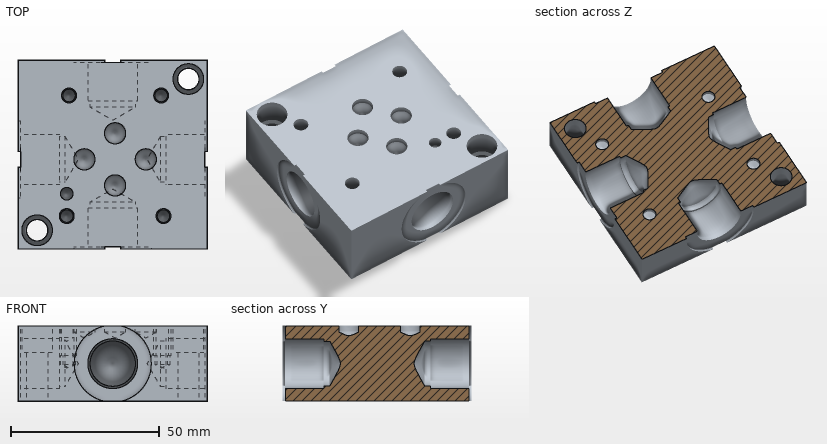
import cadquery as cq
import math

side = 63.5
height = 25.4
half_side = side / 2
top_z = height / 2

drill_point_angle = 120.0

pattern_x = 0.79
pattern_y = -1.58
upper_bolt_spacing = 30.95
lower_bolt_spacing = 32.5
upper_bolt_to_centre = 21.45
lower_bolt_to_centre = 19.05
flow_hole_offset_x = 10.32
flow_hole_offset_y = 8.75
pin_to_lower_bolt = 7.5

flow_hole_diameter = 7.14
flow_hole_depth = 2.05
pin_hole_diameter = 4.22
pin_hole_depth = 4.0
bolt_thread_diameter = 5.0
bolt_thread_depth = 10.0
bolt_drill_diameter = 4.22
bolt_drill_depth = 13.0

fixing_offset = 25.4
fixing_diameter = 7.14
fixing_head_diameter = 10.31
fixing_head_depth = 9.0

port_spotface_diameter = 25.93
port_spotface_depth = 0.79
port_thread_diameter = 16.76
port_thread_depth = 13.0
port_drill_diameter = 15.24
port_drill_depth = 15.0


def drill(diameter, depth):
    """Hole cutter running down from the origin, ending in a drill point below its full-width depth."""
    radius = diameter / 2
    point_length = radius / math.tan(math.radians(drill_point_angle / 2))
    return (
        cq.Workplane("XZ")
        .polyline([(0, 0), (radius, 0), (radius, -depth), (0, -depth - point_length)])
        .close()
        .revolve(360, (0, 0, 0), (0, 1, 0))
    )


def flat_bore(diameter, depth):
    """Flat-bottomed cutter running down from the origin."""
    return cq.Workplane("XY").circle(diameter / 2).extrude(-depth)


def threaded_hole(thread_diameter, thread_depth, drill_diameter, drill_depth):
    """Thread-size bore above a narrower, deeper pilot hole."""
    return drill(drill_diameter, drill_depth).union(flat_bore(thread_diameter, thread_depth))


def cut_from_top(body, cutter, places):
    for x, y in places:
        body = body.cut(cutter.translate((x, y, top_z)))
    return body


def cut_flow_holes(body):
    places = [
        (pattern_x - flow_hole_offset_x, pattern_y),
        (pattern_x + flow_hole_offset_x, pattern_y),
        (pattern_x, pattern_y - flow_hole_offset_y),
        (pattern_x, pattern_y + flow_hole_offset_y),
    ]
    return cut_from_top(body, drill(flow_hole_diameter, flow_hole_depth), places)


def cut_valve_mounting_holes(body):
    upper_y = pattern_y + upper_bolt_to_centre
    lower_y = pattern_y - lower_bolt_to_centre
    left_lower_x = pattern_x - lower_bolt_spacing / 2
    bolt_places = [
        (pattern_x - upper_bolt_spacing / 2, upper_y),
        (pattern_x + upper_bolt_spacing / 2, upper_y),
        (left_lower_x, lower_y),
        (pattern_x + lower_bolt_spacing / 2, lower_y),
    ]
    bolt_hole = threaded_hole(bolt_thread_diameter, bolt_thread_depth, bolt_drill_diameter, bolt_drill_depth)
    body = cut_from_top(body, bolt_hole, bolt_places)
    pin_place = (left_lower_x, lower_y + pin_to_lower_bolt)
    return cut_from_top(body, drill(pin_hole_diameter, pin_hole_depth), [pin_place])


def cut_fixing_holes(body):
    cutter = flat_bore(fixing_diameter, height).union(flat_bore(fixing_head_diameter, fixing_head_depth))
    places = [(-fixing_offset, -fixing_offset), (fixing_offset, fixing_offset)]
    return cut_from_top(body, cutter, places)


def cut_side_ports(body):
    port = threaded_hole(port_thread_diameter, port_thread_depth, port_drill_diameter, port_drill_depth)
    port = port.translate((0, 0, -port_spotface_depth))
    port = port.union(flat_bore(port_spotface_diameter, port_spotface_depth))
    front_port = port.rotate((0, 0, 0), (1, 0, 0), 90).translate((0, -half_side, 0))
    for turn, shift_y in [(0, 0), (90, pattern_y), (180, 0), (270, pattern_y)]:
        cutter = front_port.rotate((0, 0, 0), (0, 0, 1), turn).translate((0, shift_y, 0))
        body = body.cut(cutter)
    return body


block = cq.Workplane("XY").box(side, side, height)
block = cut_flow_holes(block)
block = cut_valve_mounting_holes(block)
block = cut_fixing_holes(block)
result = cut_side_ports(block)